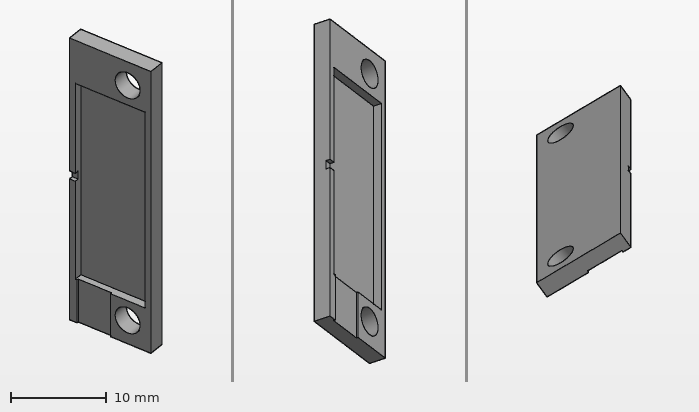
import cadquery as cq

width = 10.5
thickness = 2.0
height = 36.0

pocket_width = 9.0
pocket_height = 25.0
pocket_depth = 1.0
side_wall = (width - pocket_width) / 2
end_margin = (height - pocket_height) / 2

hole_diameter = 3.2
hole_x = 7.5
hole_end_distance = 3.0

notch_height = 1.0
notch_depth = 0.5
notch_bottom = height / 2

channel_left = 1.0
channel_width = 4.3
channel_depth = 0.2


def front_recess(left, bottom, size_x, size_z, depth):
    """Block that cuts a rectangular recess into the front face."""
    return cq.Workplane("XY").box(size_x, depth, size_z, centered=False).translate((left, 0, bottom))


def mounting_hole(z):
    """Cylinder that cuts a hole through the full thickness."""
    axis = cq.Vector(0, 1, 0)
    start = cq.Vector(hole_x, 0, z)
    return cq.Workplane(cq.Solid.makeCylinder(hole_diameter / 2, thickness, start, axis))


result = cq.Workplane("XY").box(width, thickness, height, centered=False)
result = result.cut(front_recess(side_wall, end_margin, pocket_width, pocket_height, pocket_depth))
result = result.cut(front_recess(0, notch_bottom, side_wall, notch_height, notch_depth))
result = result.cut(front_recess(channel_left, 0, channel_width, end_margin, channel_depth))
for hole_z in (hole_end_distance, height - hole_end_distance):
    result = result.cut(mounting_hole(hole_z))